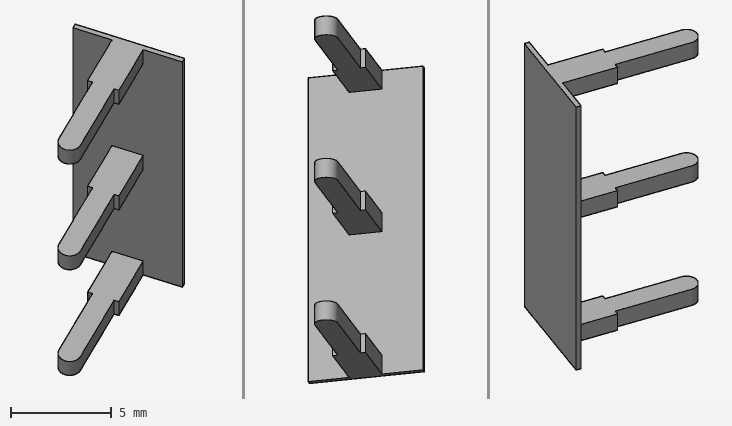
import cadquery as cq

plate_width = 5.92
plate_height = 16.23
plate_thickness = 0.28

overall_depth = 8.1
pin_count = 3
pin_height = 1.0
base_width = 1.69
shoulder_depth = 3.31
tip_width = 1.17
pin_pitch = (plate_height - pin_height) / (pin_count - 1)


def make_plate():
    """Plate with its back face on Y = 0 and its lower edge on Z = 0."""
    return cq.Workplane("XY").box(
        plate_width, plate_thickness, plate_height, centered=(True, False, False)
    ).translate((0, -plate_thickness, 0))


def make_pin(bottom_z):
    """Pin with a wide base, a narrower shank and a full-round tip."""
    half_base = base_width / 2
    half_tip = tip_width / 2
    round_start = -overall_depth + half_tip
    return (
        cq.Workplane("XY", origin=(0, 0, bottom_z))
        .moveTo(-half_base, 0)
        .lineTo(-half_base, -shoulder_depth)
        .lineTo(-half_tip, -shoulder_depth)
        .lineTo(-half_tip, round_start)
        .threePointArc((0, -overall_depth), (half_tip, round_start))
        .lineTo(half_tip, -shoulder_depth)
        .lineTo(half_base, -shoulder_depth)
        .lineTo(half_base, 0)
        .close()
        .extrude(pin_height)
    )


result = make_plate()
for index in range(pin_count):
    result = result.union(make_pin(index * pin_pitch))